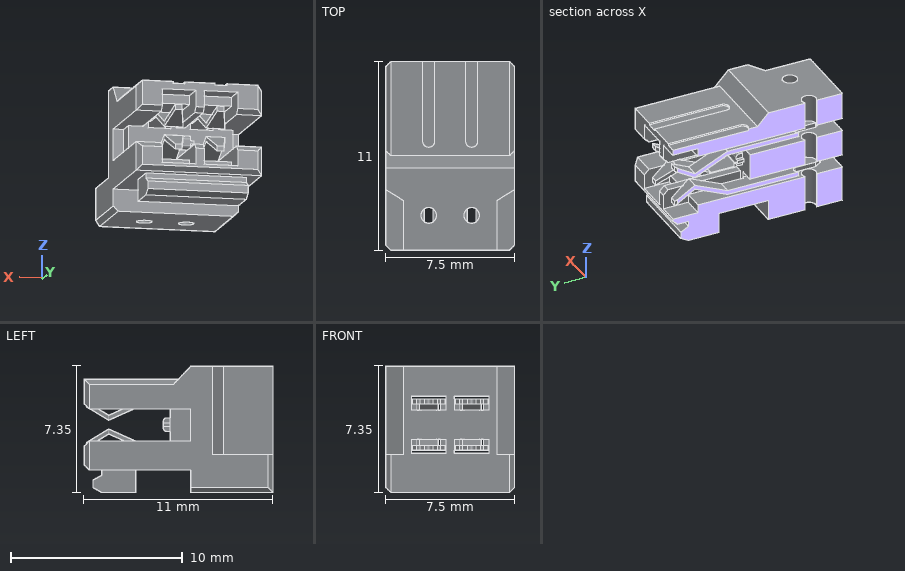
import cadquery as cq
import math

WIDTH = 7.5
LENGTH = 11.0
HEIGHT = 7.35
BODY_LENGTH = 4.8
CHAMFER = 0.3

LEDGE_Z = 2.2
RELIEF_DEPTH = 1.03
RELIEF_LENGTH = 2.9
RELIEF_OUTER_LENGTH = 3.54

UPPER_TONGUE_BOTTOM = 4.86
UPPER_TONGUE_TOP = 6.6
RAMP_END_Y = 5.8
LOWER_TONGUE_BOTTOM = 1.3
LOWER_TONGUE_TOP = 3.0

GROOVE_WIDTH = 0.7
GROOVE_DEPTH = 0.1
GROOVE_START_Y = 6.0

BLOCK_INSET = 0.63
BLOCK_END_Y = 6.0
PEG_WIDTH = 1.0
PEG_HEIGHT = 0.8
PEG_LENGTH = 0.4
PEG_FILLET = 0.2
PEG_RIB_WIDTH = 1.4
PEG_RIB_THICKNESS = 0.2

FOOT_INSET = 0.75
FOOT_START_Y = 7.99
FOOT_SHOULDER_Y = 9.99
FOOT_NOSE_Y = 10.49
FOOT_NOSE_LOW_Z = 0.28
FOOT_NOSE_HIGH_Z = 0.73
FOOT_SHOULDER_Z = 1.0

MATING_Z = 3.95
PITCH = 2.5
COLUMN_X = (-PITCH / 2, PITCH / 2)
CAVITY_WIDTH = 2.0
CAVITY_INNER = 0.85
CAVITY_OUTER = 1.65
RAIL_START_Y = 4.0
RAIL_GAP = 1.35
SPRING_RELIEF_START_Y = 9.38
SPRING_RELIEF_OUTER = 2.18
TEST_HOLE_DIAMETER = 0.9
TEST_HOLE_Y = 2.04

PLATE_INNER = 1.2
PLATE_THICKNESS = 0.3
PLATE_OUTER = PLATE_INNER + PLATE_THICKNESS
FORK_TIP_Y = 1.0
FORK_ROOT_Y = 1.5
FORK_END_Y = 3.0
FORK_SLOT_WIDTH = 0.5
FORK_SLOT_FILLET = 0.22
FORK_TIP_INNER_X = 0.52
FORK_TIP_OUTER_X = 0.70
FORK_OUTER_X = 0.95
SPRING_WIDTH = 1.12
SPRING_TIP_WIDTH = 0.4
SPRING_BEND_Y = 7.45
SPRING_APEX_Y = 9.57
SPRING_APEX = 0.25
SPRING_TIP_Y = 10.86
SPRING_TIP_ANGLE = 31.0


def box(width, y_start, y_end, z_start, z_end, x_center=0.0):
    """Box centred across X on x_center, between the given Y and Z limits."""
    corner = (x_center - width / 2, y_start, z_start)
    return cq.Workplane("XY").box(width, y_end - y_start, z_end - z_start, centered=False).translate(corner)


def side_profile(points, width):
    """Extrude a (Y, Z) outline symmetrically across X."""
    return cq.Workplane("YZ").polyline(points).close().extrude(width / 2, both=True)


def make_body():
    body = box(WIDTH, 0, BODY_LENGTH, 0, HEIGHT)
    body = body.edges("(|Z and <Y) or (|Y and <Z)").chamfer(CHAMFER)
    side_x = WIDTH / 2
    inner_x = side_x - RELIEF_DEPTH
    relief = (
        cq.Workplane("XY", origin=(0, 0, LEDGE_Z))
        .polyline([(inner_x, 0), (side_x, 0), (side_x, RELIEF_OUTER_LENGTH), (inner_x, RELIEF_LENGTH)])
        .close()
        .extrude(HEIGHT - LEDGE_Z)
    )
    return body.cut(relief).cut(relief.mirror("YZ"))


def make_upper_tongue():
    tongue = box(WIDTH, BODY_LENGTH, LENGTH, UPPER_TONGUE_BOTTOM, UPPER_TONGUE_TOP)
    tongue = tongue.edges("(|Z and >Y) or (|Y and >Z) or (|X and >Y and <Z)").chamfer(CHAMFER)
    for x in COLUMN_X:
        tongue = tongue.cut(make_groove(x))
    ramp_foot_z = UPPER_TONGUE_TOP - CHAMFER
    ramp = side_profile([(BODY_LENGTH, ramp_foot_z), (RAMP_END_Y, ramp_foot_z), (BODY_LENGTH, HEIGHT)], WIDTH)
    return tongue.union(ramp)


def make_groove(x):
    """Shallow groove with a round inner end."""
    floor_z = UPPER_TONGUE_TOP - GROOVE_DEPTH
    round_y = GROOVE_START_Y + GROOVE_WIDTH / 2
    straight = box(GROOVE_WIDTH, round_y, LENGTH, floor_z, UPPER_TONGUE_TOP, x)
    round_end = cq.Workplane("XY", origin=(x, round_y, floor_z)).circle(GROOVE_WIDTH / 2).extrude(GROOVE_DEPTH)
    return straight.union(round_end)


def make_lower_tongue():
    tongue = box(WIDTH, BODY_LENGTH, LENGTH, LOWER_TONGUE_BOTTOM, LOWER_TONGUE_TOP)
    return tongue.faces(">Y").edges().chamfer(CHAMFER)


def make_block():
    """Block joining the tongues, with a rounded, ribbed peg on its end."""
    block = box(WIDTH - 2 * BLOCK_INSET, BODY_LENGTH, BLOCK_END_Y, LOWER_TONGUE_TOP, UPPER_TONGUE_BOTTOM)
    peg_end_y = BLOCK_END_Y + PEG_LENGTH
    half_height = PEG_HEIGHT / 2
    half_rib = PEG_RIB_THICKNESS / 2
    peg = box(PEG_WIDTH, BLOCK_END_Y, peg_end_y, MATING_Z - half_height, MATING_Z + half_height)
    peg = peg.edges("|X and >Y").fillet(PEG_FILLET)
    rib = box(PEG_RIB_WIDTH, BLOCK_END_Y, peg_end_y, MATING_Z - half_rib, MATING_Z + half_rib)
    return block.union(peg).union(rib)


def make_foot():
    outline = [
        (FOOT_START_Y, 0),
        (FOOT_SHOULDER_Y, 0),
        (FOOT_NOSE_Y, FOOT_NOSE_LOW_Z),
        (FOOT_NOSE_Y, FOOT_NOSE_HIGH_Z),
        (FOOT_SHOULDER_Y, FOOT_SHOULDER_Z),
        (FOOT_SHOULDER_Y, LOWER_TONGUE_BOTTOM),
        (FOOT_START_Y, LOWER_TONGUE_BOTTOM),
    ]
    return side_profile(outline, WIDTH - 2 * FOOT_INSET)


def make_cavity():
    """Cavity at X = 0 above the mating plane Z = 0, narrowed by two rails under the contact plate."""
    window = box(CAVITY_WIDTH, 0, RAIL_START_Y, CAVITY_INNER, CAVITY_OUTER)
    plate_channel = box(CAVITY_WIDTH, 0, LENGTH, PLATE_INNER, CAVITY_OUTER)
    rail_gap = box(RAIL_GAP, 0, BLOCK_END_Y, CAVITY_INNER, CAVITY_OUTER)
    spring_bay = box(CAVITY_WIDTH, BLOCK_END_Y, LENGTH, CAVITY_INNER, CAVITY_OUTER)
    spring_relief = box(CAVITY_WIDTH, SPRING_RELIEF_START_Y, LENGTH, CAVITY_INNER, SPRING_RELIEF_OUTER)
    return window.union(plate_channel).union(rail_gap).union(spring_bay).union(spring_relief)


def make_contact():
    """Contact at X = 0 above the mating plane Z = 0."""
    plate = box(CAVITY_WIDTH, FORK_ROOT_Y, BLOCK_END_Y, PLATE_INNER, PLATE_OUTER)
    slot = box(FORK_SLOT_WIDTH, FORK_ROOT_Y, FORK_END_Y, PLATE_INNER, PLATE_OUTER)
    slot = slot.edges("|Z and >Y").fillet(FORK_SLOT_FILLET)
    plate = plate.cut(slot)
    tip_center_x = (FORK_TIP_INNER_X + FORK_TIP_OUTER_X) / 2
    tip_radius = (FORK_TIP_OUTER_X - FORK_TIP_INNER_X) / 2
    prong = (
        cq.Workplane("XY", origin=(0, 0, PLATE_INNER))
        .moveTo(FORK_SLOT_WIDTH / 2, FORK_ROOT_Y)
        .lineTo(FORK_TIP_INNER_X, FORK_TIP_Y + tip_radius)
        .threePointArc((tip_center_x, FORK_TIP_Y), (FORK_TIP_OUTER_X, FORK_TIP_Y + tip_radius))
        .lineTo(FORK_OUTER_X, FORK_ROOT_Y)
        .close()
        .extrude(PLATE_THICKNESS)
    )
    plate = plate.union(prong).union(prong.mirror("YZ"))
    tip_rise = (SPRING_TIP_Y - SPRING_APEX_Y) * math.tan(math.radians(SPRING_TIP_ANGLE))
    spring_lower = [
        (FORK_END_Y, PLATE_INNER),
        (SPRING_BEND_Y, PLATE_INNER),
        (SPRING_APEX_Y, SPRING_APEX),
        (SPRING_TIP_Y, SPRING_APEX + tip_rise),
    ]
    spring_upper = [(y, z + PLATE_THICKNESS) for y, z in reversed(spring_lower)]
    spring = side_profile(spring_lower + spring_upper, SPRING_WIDTH)
    half_spring = SPRING_WIDTH / 2
    half_tip = SPRING_TIP_WIDTH / 2
    spring_plan = (
        cq.Workplane("XY")
        .polyline([
            (-half_spring, FORK_END_Y),
            (half_spring, FORK_END_Y),
            (half_spring, SPRING_APEX_Y),
            (half_tip, SPRING_TIP_Y),
            (-half_tip, SPRING_TIP_Y),
            (-half_spring, SPRING_APEX_Y),
        ])
        .close()
        .extrude(PLATE_OUTER)
    )
    return plate.union(spring.intersect(spring_plan))


def both_rows(feature, x):
    """Place a feature above the mating plane and its mirror image below it."""
    placed = feature.union(feature.mirror("XY"))
    return placed.translate((x, 0, MATING_Z))


def make_connector():
    housing = make_body()
    for section in (make_upper_tongue(), make_lower_tongue(), make_block(), make_foot()):
        housing = housing.union(section)
    cavity = make_cavity()
    contact = make_contact()
    for x in COLUMN_X:
        hole = cq.Workplane("XY").center(x, TEST_HOLE_Y).circle(TEST_HOLE_DIAMETER / 2).extrude(HEIGHT)
        housing = housing.cut(both_rows(cavity, x)).cut(hole)
    for x in COLUMN_X:
        housing = housing.union(both_rows(contact, x))
    return housing


result = make_connector()